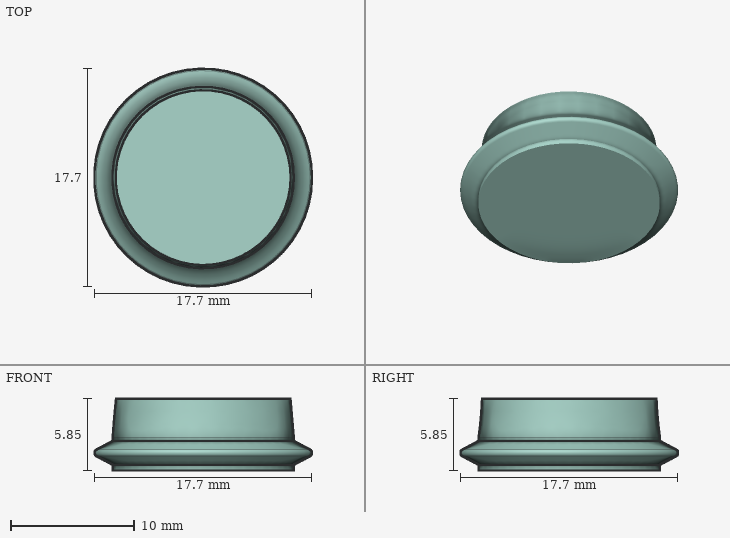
import cadquery as cq
import math

PLUG_DIAMETER = 14.75
PLUG_HEIGHT = 5.85
STRAIGHT_HEIGHT = 2.69
DRAFT_ANGLE = 5.0

RING_DIAMETER = 17.7
RING_BOTTOM = 0.48
RING_HEIGHT = 1.93
RIM_RADIUS = 0.3

plug_radius = PLUG_DIAMETER / 2


def make_plug():
    """Solid of revolution about Z: a straight foot and a drafted upper part."""
    taper_height = PLUG_HEIGHT - STRAIGHT_HEIGHT
    top_radius = plug_radius - taper_height * math.tan(math.radians(DRAFT_ANGLE))
    return (
        cq.Workplane("XZ")
        .lineTo(plug_radius, 0)
        .lineTo(plug_radius, STRAIGHT_HEIGHT)
        .lineTo(top_radius, PLUG_HEIGHT)
        .lineTo(0, PLUG_HEIGHT)
        .close()
        .revolve(360, (0, 0), (0, 1))
    )


def make_ring():
    """Wedge section around the plug, its flanks tangent to the rim arc."""
    outer_radius = RING_DIAMETER / 2
    half_height = RING_HEIGHT / 2
    middle_z = RING_BOTTOM + half_height
    rim_center = outer_radius - RIM_RADIUS

    center_reach = rim_center - plug_radius
    corner_distance = math.hypot(center_reach, half_height)
    flank_angle = math.atan2(half_height, center_reach) - math.asin(RIM_RADIUS / corner_distance)
    tangent_radius = rim_center + RIM_RADIUS * math.sin(flank_angle)
    tangent_rise = RIM_RADIUS * math.cos(flank_angle)

    return (
        cq.Workplane("XZ")
        .moveTo(plug_radius, RING_BOTTOM)
        .lineTo(tangent_radius, middle_z - tangent_rise)
        .threePointArc((outer_radius, middle_z), (tangent_radius, middle_z + tangent_rise))
        .lineTo(plug_radius, RING_BOTTOM + RING_HEIGHT)
        .close()
        .revolve(360, (0, 0), (0, 1))
    )


plug = make_plug()
ring = make_ring()

result = cq.Compound.makeCompound([plug.val(), ring.val()])